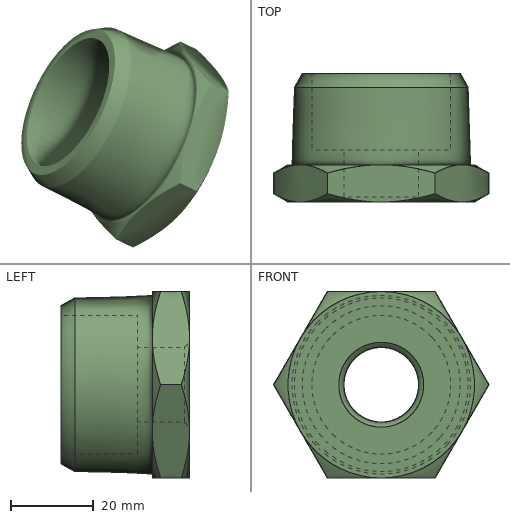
import cadquery as cq
import math

across_corners = 51.95
across_flats = across_corners * math.cos(math.pi / 6)
head_length = 9.0
head_chamfer_angle = math.radians(30)

total_length = 31.0
taper_ratio = 1 / 16
spigot_root_diameter = 43.1
tip_diameter = 38.15
tip_chamfer_length = 3.4

bore_diameter = 18.0
mouth_diameter = 20.45
mouth_depth = (mouth_diameter - bore_diameter) / 2
bore_length = 12.5
hollow_diameter = 33.5


def revolve_about_y(profile_points):
    """Turn a closed (radius, y) profile about the Y axis."""
    profile = cq.Workplane("XY").polyline(profile_points).close()
    return profile.revolve(360, (0, 0, 0), (0, 1, 0))


def make_head():
    """Hexagon with both ends turned down to the across-flats circle."""
    hexagon = cq.Workplane("XZ").polygon(6, across_corners).extrude(-head_length)
    corner_radius = across_corners / 2
    flat_radius = across_flats / 2
    chamfer_length = (corner_radius - flat_radius) * math.tan(head_chamfer_angle)
    envelope = revolve_about_y([
        (0, 0),
        (flat_radius, 0),
        (corner_radius, chamfer_length),
        (corner_radius, head_length - chamfer_length),
        (flat_radius, head_length),
        (0, head_length),
    ])
    return hexagon.intersect(envelope)


def make_spigot():
    """Tapered cylinder with a chamfered tip."""
    chamfer_start = total_length - tip_chamfer_length
    chamfer_diameter = spigot_root_diameter - taper_ratio * (chamfer_start - head_length)
    return revolve_about_y([
        (0, head_length),
        (spigot_root_diameter / 2, head_length),
        (chamfer_diameter / 2, chamfer_start),
        (tip_diameter / 2, total_length),
        (0, total_length),
    ])


def make_passage():
    """Stepped passage: countersunk mouth, bore and wide hollow."""
    return revolve_about_y([
        (0, 0),
        (mouth_diameter / 2, 0),
        (bore_diameter / 2, mouth_depth),
        (bore_diameter / 2, bore_length),
        (hollow_diameter / 2, bore_length),
        (hollow_diameter / 2, total_length),
        (0, total_length),
    ])


result = make_head().union(make_spigot()).cut(make_passage())